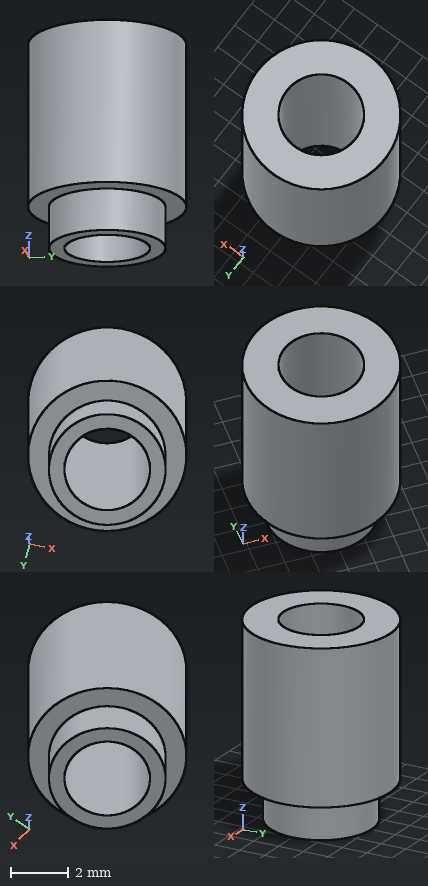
import cadquery as cq

BODY_DIAMETER = 5.56
BODY_LENGTH = 6.0
SPIGOT_DIAMETER = 4.09
SPIGOT_LENGTH = 1.53
BORE_DIAMETER = 3.0

TOTAL_LENGTH = BODY_LENGTH + SPIGOT_LENGTH


def cylinder(diameter, length, bottom_z):
    """Upright cylinder on the Z axis, starting at bottom_z."""
    return cq.Workplane("XY", origin=(0, 0, bottom_z)).circle(diameter / 2).extrude(length)


spigot = cylinder(SPIGOT_DIAMETER, SPIGOT_LENGTH, 0)
body = cylinder(BODY_DIAMETER, BODY_LENGTH, SPIGOT_LENGTH)

bore = cylinder(BORE_DIAMETER, TOTAL_LENGTH, 0)

result = spigot.union(body).cut(bore)